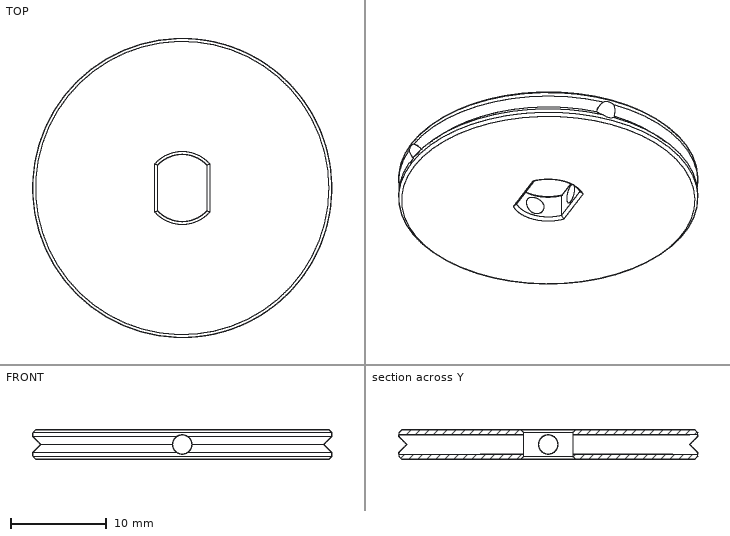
import cadquery as cq

wheel_diameter = 31.25
wheel_thickness = 3.12
rim_chamfer = 0.3

groove_width = 1.62
groove_depth = groove_width / 2

bore_diameter = 7.0
bore_across_flats = 5.12
bore_chamfer = 0.3

cross_hole_diameter = 2.0
cross_hole_seam_angle = 45.0

wheel_radius = wheel_diameter / 2
half_thickness = wheel_thickness / 2


def make_wheel():
    """Disc with chamfered rims and a V-groove, centred on the origin with its axis along Z."""
    face_radius = wheel_radius - rim_chamfer
    rim_height = half_thickness - rim_chamfer
    profile = (
        cq.Workplane("XZ")
        .moveTo(0, half_thickness)
        .lineTo(face_radius, half_thickness)
        .lineTo(wheel_radius, rim_height)
        .lineTo(wheel_radius, groove_width / 2)
        .lineTo(wheel_radius - groove_depth, 0)
        .lineTo(wheel_radius, -groove_width / 2)
        .lineTo(wheel_radius, -rim_height)
        .lineTo(face_radius, -half_thickness)
        .lineTo(0, -half_thickness)
        .close()
    )
    return profile.revolve(360, (0, 0, 0), (0, 1, 0))


def make_bore():
    """Through bore: a cylinder trimmed by two flats facing +X and -X."""
    cylinder = cq.Workplane("XY").circle(bore_diameter / 2).extrude(half_thickness, both=True)
    flats = cq.Workplane("XY").box(bore_across_flats, bore_diameter, wheel_thickness)
    return cylinder.intersect(flats)


def make_bore_countersink():
    """Flared mouth at the top of the bore, chamfering both its arcs and its flats."""
    mouth_diameter = bore_diameter + 2 * bore_chamfer
    mouth_across_flats = bore_across_flats + 2 * bore_chamfer
    mouth_bottom = half_thickness - bore_chamfer
    cone = (
        cq.Workplane("XZ")
        .moveTo(0, mouth_bottom)
        .lineTo(bore_diameter / 2, mouth_bottom)
        .lineTo(mouth_diameter / 2, half_thickness)
        .lineTo(0, half_thickness)
        .close()
        .revolve(360, (0, 0, 0), (0, 1, 0))
    )
    wedge = (
        cq.Workplane("XZ")
        .moveTo(-mouth_across_flats / 2, half_thickness)
        .lineTo(mouth_across_flats / 2, half_thickness)
        .lineTo(bore_across_flats / 2, mouth_bottom)
        .lineTo(-bore_across_flats / 2, mouth_bottom)
        .close()
        .extrude(mouth_diameter / 2, both=True)
    )
    return cone.intersect(wedge)


def make_cross_hole(plane):
    """Cylinder along the normal of the given plane, reaching well past the rim on both sides."""
    return (
        cq.Workplane(plane)
        .transformed(rotate=(0, 0, cross_hole_seam_angle))
        .circle(cross_hole_diameter / 2)
        .extrude(wheel_diameter, both=True)
    )


countersink = make_bore_countersink()

result = make_wheel().cut(make_bore())
result = result.cut(countersink).cut(countersink.mirror("XY"))
for plane in ("XZ", "YZ"):
    result = result.cut(make_cross_hole(plane))